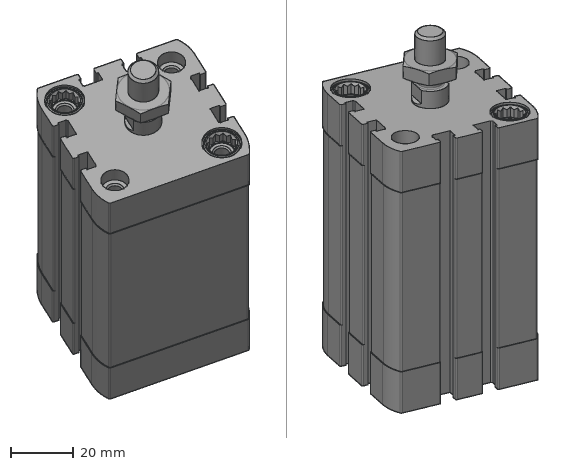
import cadquery as cq
import math


TOTAL_HEIGHT = 120.1
HOUSING_WIDTH = 54.5
HOUSING_HEIGHT = 95.1
HEXAGON_SIDES = 6

CAP_HEIGHT = 15.0
TUBE_INSET = 0.3
FLAT_HALF_LENGTH = 19.0
CORNER_RADIUS = 15.0
CORNER_BLEND = 0.7

SLOT_RIB_WIDTH = 9.8
SLOT_MOUTH_WIDTH = 5.4
SLOT_UNDERCUT = 0.7
SLOT_LIP_DEPTH = 2.2
SLOT_DEPTH = 5.5
SLOT_MOUTH_FILLET = 0.5
SLOT_CORNER_CHAMFER = 0.5

HOLE_OFFSET = 19.0
BOLT_HOLE_DIAMETER = 4.9
BOLT_HOLE_MOUTH_DIAMETER = 6.0
BOLT_SEAT_DEPTH = 4.9
COUNTERBORE_DIAMETER = 9.0

SOCKET_RIM_DIAMETER = 12.9
GROOVE_FLOOR_DIAMETER = 11.9
GROOVE_DEPTH = 0.8
LEDGE_OUTER_DIAMETER = 11.0
LEDGE_INNER_DIAMETER = 10.2
LEDGE_DEPTH = 0.4
SOCKET_LEAD_IN_DEPTH = 1.8
SOCKET_ACROSS_FLATS = 8.3
SOCKET_BORE_DIAMETER = 8.2
SOCKET_TEETH_DEPTH = 4.5

COLLAR_DIAMETER = 12.0
COLLAR_HEIGHT = 6.2
COLLAR_ACROSS_FLATS = 10.0
FLAT_START = 1.5
FLAT_RUNOUT_ANGLE = 40.0
NECK_DIAMETER = 8.5
NECK_HEIGHT = 1.2
NECK_FILLET = 0.4
RUNOUT_RADIUS = 3.6
THREAD_DIAMETER = 10.0
TIP_DIAMETER = 8.2

NUT_ACROSS_FLATS = 17.0
NUT_HEIGHT = 5.0
NUT_TOP_SETBACK = 10.0
NUT_FACE_DIAMETER = 16.8
NUT_CHAMFER_ANGLE = 15.0


def bowed_block(height, inset):
    """Upright block with four bowed corners, its sides moved inwards by the inset."""
    half = HOUSING_WIDTH / 2 - inset
    radius = CORNER_RADIUS - inset
    sweep = math.asin((half - FLAT_HALF_LENGTH) / radius)
    bow_x = FLAT_HALF_LENGTH + radius * math.sin(sweep / 2)
    bow_y = half - radius * (1 - math.cos(sweep / 2))
    end_y = half - radius * (1 - math.cos(sweep))
    return (
        cq.Workplane("XY")
        .moveTo(-FLAT_HALF_LENGTH, half)
        .lineTo(FLAT_HALF_LENGTH, half)
        .threePointArc((bow_x, bow_y), (half, end_y))
        .lineTo(half, -end_y)
        .threePointArc((bow_x, -bow_y), (FLAT_HALF_LENGTH, -half))
        .lineTo(-FLAT_HALF_LENGTH, -half)
        .threePointArc((-bow_x, -bow_y), (-half, -end_y))
        .lineTo(-half, end_y)
        .threePointArc((-bow_x, bow_y), (-FLAT_HALF_LENGTH, half))
        .close()
        .extrude(height)
        .edges("|Z and (>X or <X)")
        .fillet(CORNER_BLEND)
    )


def slot_pair(height, inset):
    """Two mirrored T-slots with rounded mouths, open to the +Y side of an inset block."""
    face = HOUSING_WIDTH / 2 - inset
    lip = HOUSING_WIDTH / 2 - SLOT_LIP_DEPTH
    floor = HOUSING_WIDTH / 2 - SLOT_DEPTH
    mouth_inner = SLOT_RIB_WIDTH / 2
    mouth_outer = mouth_inner + SLOT_MOUTH_WIDTH
    inner = mouth_inner - SLOT_UNDERCUT
    outer = mouth_outer + SLOT_UNDERCUT
    slot = (
        cq.Workplane("XY")
        .moveTo(mouth_inner - SLOT_MOUTH_FILLET, face)
        .lineTo(mouth_outer + SLOT_MOUTH_FILLET, face)
        .radiusArc((mouth_outer, face - SLOT_MOUTH_FILLET), -SLOT_MOUTH_FILLET)
        .lineTo(mouth_outer, lip)
        .lineTo(outer, lip)
        .lineTo(outer, floor + SLOT_CORNER_CHAMFER)
        .lineTo(outer - SLOT_CORNER_CHAMFER, floor)
        .lineTo(inner, floor)
        .lineTo(inner, lip)
        .lineTo(mouth_inner, lip)
        .lineTo(mouth_inner, face - SLOT_MOUTH_FILLET)
        .radiusArc((mouth_inner - SLOT_MOUTH_FILLET, face), -SLOT_MOUTH_FILLET)
        .close()
        .extrude(height)
    )
    return slot.union(slot.mirror("YZ"))


def housing_section(height, inset):
    """Bowed block with slots on its +Y, -X and -Y sides."""
    section = bowed_block(height, inset)
    for turn in (0, 90, 180):
        section = section.cut(slot_pair(height, inset).rotate((0, 0, 0), (0, 0, 1), turn))
    return section


def revolved(profile):
    """Solid of revolution about Z from (radius, z) points."""
    return cq.Workplane("XZ").polyline(profile).close().revolve(360, (0, 0), (0, 1))


def bolt_hole(seat_z):
    """Through hole with a 45 degree mouth at seat_z."""
    radius = BOLT_HOLE_DIAMETER / 2
    mouth_radius = BOLT_HOLE_MOUTH_DIAMETER / 2
    return revolved([
        (0, 0),
        (radius, 0),
        (radius, seat_z - (mouth_radius - radius)),
        (mouth_radius, seat_z),
        (0, seat_z),
    ])


def counterbored_hole():
    """Mounting hole with a plain counterbore from the top."""
    seat_z = HOUSING_HEIGHT - BOLT_SEAT_DEPTH
    counterbore = (
        cq.Workplane("XY", origin=(0, 0, seat_z))
        .circle(COUNTERBORE_DIAMETER / 2)
        .extrude(BOLT_SEAT_DEPTH)
    )
    return bolt_hole(seat_z).union(counterbore)


def socket_hole():
    """Mounting hole under a twelve-point wrench socket, its ledge ringed by a groove."""
    rim_radius = SOCKET_RIM_DIAMETER / 2
    bore_radius = SOCKET_BORE_DIAMETER / 2
    groove_z = HOUSING_HEIGHT - GROOVE_DEPTH
    ledge_z = HOUSING_HEIGHT - LEDGE_DEPTH
    lead_in_z = HOUSING_HEIGHT - SOCKET_LEAD_IN_DEPTH
    teeth_z = HOUSING_HEIGHT - SOCKET_TEETH_DEPTH
    seat_z = HOUSING_HEIGHT - BOLT_SEAT_DEPTH
    socket = revolved([
        (0, seat_z),
        (bore_radius, seat_z),
        (bore_radius, lead_in_z),
        (LEDGE_INNER_DIAMETER / 2, ledge_z),
        (LEDGE_OUTER_DIAMETER / 2, ledge_z),
        (GROOVE_FLOOR_DIAMETER / 2, groove_z),
        (rim_radius, groove_z),
        (rim_radius, HOUSING_HEIGHT),
        (0, HOUSING_HEIGHT),
    ])
    for turn in (0, 180 / HEXAGON_SIDES):
        hexagon = (
            cq.Workplane("XY", origin=(0, 0, teeth_z))
            .polygon(HEXAGON_SIDES, SOCKET_ACROSS_FLATS, circumscribed=True)
            .extrude(ledge_z - teeth_z)
            .rotate((0, 0, 0), (0, 0, 1), turn)
        )
        socket = socket.union(hexagon)
    return socket.union(bolt_hole(seat_z))


def build_housing():
    """Inset tube between two end caps, with slots on three sides and four corner holes."""
    body = housing_section(HOUSING_HEIGHT, TUBE_INSET)
    for cap_z in (0, HOUSING_HEIGHT - CAP_HEIGHT):
        body = body.union(housing_section(CAP_HEIGHT, 0).translate((0, 0, cap_z)))
    for side in (-1, 1):
        x = side * HOLE_OFFSET
        body = body.cut(counterbored_hole().translate((x, -x, 0)))
        body = body.cut(socket_hole().translate((x, x, 0)))
    return body


def build_rod():
    """Collar with two wrench flats, undercut neck and threaded end, standing on the housing."""
    collar_radius = COLLAR_DIAMETER / 2
    neck_radius = NECK_DIAMETER / 2
    thread_radius = THREAD_DIAMETER / 2
    tip_radius = TIP_DIAMETER / 2
    collar_top = HOUSING_HEIGHT + COLLAR_HEIGHT
    neck_top = collar_top + NECK_HEIGHT
    runout_sweep = math.acos(1 - (thread_radius - neck_radius) / RUNOUT_RADIUS)
    runout_top = neck_top + RUNOUT_RADIUS * math.sin(runout_sweep)
    rod = (
        cq.Workplane("XZ")
        .moveTo(0, HOUSING_HEIGHT)
        .lineTo(collar_radius, HOUSING_HEIGHT)
        .lineTo(collar_radius, collar_top)
        .lineTo(neck_radius + NECK_FILLET, collar_top)
        .radiusArc((neck_radius, collar_top + NECK_FILLET), NECK_FILLET)
        .lineTo(neck_radius, neck_top)
        .radiusArc((thread_radius, runout_top), RUNOUT_RADIUS)
        .lineTo(thread_radius, TOTAL_HEIGHT - (thread_radius - tip_radius))
        .lineTo(tip_radius, TOTAL_HEIGHT)
        .lineTo(0, TOTAL_HEIGHT)
        .close()
        .revolve(360, (0, 0), (0, 1))
    )
    flat_y = COLLAR_ACROSS_FLATS / 2
    flat_z = HOUSING_HEIGHT + FLAT_START
    runout_drop = (collar_radius - flat_y) * math.tan(math.radians(FLAT_RUNOUT_ANGLE))
    flat_cut = (
        cq.Workplane("YZ")
        .polyline([
            (flat_y, flat_z),
            (collar_radius, flat_z - runout_drop),
            (collar_radius, collar_top),
            (flat_y, collar_top),
        ])
        .close()
        .extrude(collar_radius, both=True)
    )
    return rod.cut(flat_cut).cut(flat_cut.mirror("XZ"))


def build_nut():
    """Hexagon nut with corners pointing along Y, chamfered on both faces."""
    face_radius = NUT_FACE_DIAMETER / 2
    corner_radius = NUT_ACROSS_FLATS / 2 / math.cos(math.pi / HEXAGON_SIDES)
    chamfer_drop = (corner_radius - face_radius) * math.tan(math.radians(NUT_CHAMFER_ANGLE))
    top_z = TOTAL_HEIGHT - NUT_TOP_SETBACK
    bottom_z = top_z - NUT_HEIGHT
    prism = (
        cq.Workplane("XY", origin=(0, 0, bottom_z))
        .polygon(HEXAGON_SIDES, NUT_ACROSS_FLATS, circumscribed=True)
        .extrude(NUT_HEIGHT)
    )
    chamfer_envelope = revolved([
        (0, bottom_z),
        (face_radius, bottom_z),
        (corner_radius, bottom_z + chamfer_drop),
        (corner_radius, top_z - chamfer_drop),
        (face_radius, top_z),
        (0, top_z),
    ])
    return prism.intersect(chamfer_envelope)


housing = build_housing()
rod = build_rod()
nut = build_nut().cut(rod)

result = cq.Compound.makeCompound([housing.solids().val(), rod.solids().val(), nut.solids().val()])